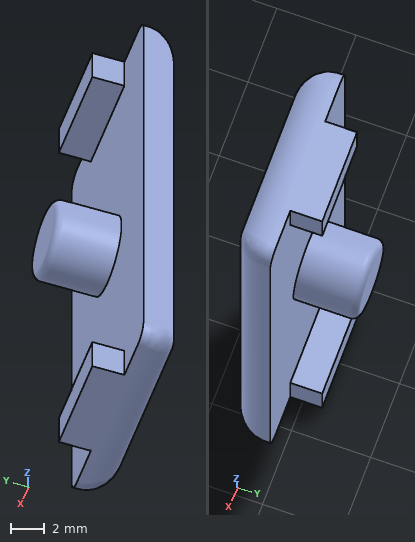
import cadquery as cq

plate_width = 13.0
plate_height = 30.0
plate_thickness = 2.5
corner_radius = 1.0
face_radius = 2.0

total_depth = 6.5
pin_diameter = 5.0
pin_edge_radius = 0.5

block_width = 6.05
block_height = 2.3
block_depth = 2.0

front_y = -total_depth / 2
back_y = front_y + plate_thickness


def make_plate():
    """Plate with rounded corners and a full round-over along the front edges."""
    plate = cq.Workplane("XY").box(plate_width, plate_thickness, plate_height)
    plate = plate.edges("|Y").fillet(corner_radius)
    plate = plate.faces("<Y").edges().fillet(face_radius)
    return plate.translate((0, front_y + plate_thickness / 2, 0))


def make_pin():
    """Pin standing on the back of the plate, with a rounded free end."""
    pin_length = total_depth - plate_thickness
    pin = cq.Workplane("XZ", origin=(0, back_y, 0)).circle(pin_diameter / 2).extrude(-pin_length)
    return pin.faces(">Y").edges().fillet(pin_edge_radius)


def make_block(side):
    """Block flush with the top (side = 1) or bottom (side = -1) of the plate."""
    block = cq.Workplane("XY").box(block_width, block_depth, block_height)
    return block.translate((0, back_y + block_depth / 2, side * (plate_height - block_height) / 2))


result = make_plate().union(make_pin())
for side in (-1, 1):
    result = result.union(make_block(side))